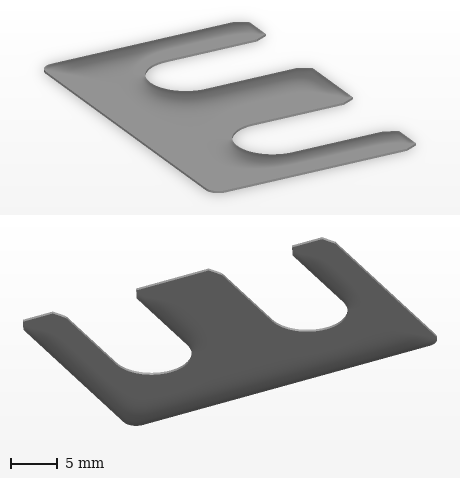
import cadquery as cq

length = 38.1
depth = 25.4
thickness = 0.25
corner_radius = 1.52

slot_width = 8.65
slot_spacing = length / 2
slot_radius = slot_width / 2
slot_center_y = 0.0

tip_inset = 0.75
tip_height = 1.52

back_y = depth / 2
taper_start_y = back_y - tip_height


def make_plate():
    """Flat plate with its two front corners rounded."""
    plate = cq.Workplane("XY").box(length, depth, thickness)
    return plate.faces("<Y").edges("|Z").fillet(corner_radius)


def make_slot(center_x):
    """Round-bottomed slot that flares out at the back edge."""
    left = center_x - slot_radius
    right = center_x + slot_radius
    return (
        cq.Workplane("XY", origin=(0, 0, -thickness))
        .moveTo(left, slot_center_y)
        .lineTo(left, taper_start_y)
        .lineTo(left - tip_inset, back_y)
        .lineTo(right + tip_inset, back_y)
        .lineTo(right, taper_start_y)
        .lineTo(right, slot_center_y)
        .threePointArc((center_x, slot_center_y - slot_radius), (left, slot_center_y))
        .close()
        .extrude(2 * thickness)
    )


def make_outer_taper(side):
    """Triangle removed from an outer back corner; side is -1 or 1."""
    edge_x = side * length / 2
    return (
        cq.Workplane("XY", origin=(0, 0, -thickness))
        .moveTo(edge_x, taper_start_y)
        .lineTo(edge_x, back_y)
        .lineTo(edge_x - side * tip_inset, back_y)
        .close()
        .extrude(2 * thickness)
    )


result = make_plate()
for side in (-1, 1):
    result = result.cut(make_slot(side * slot_spacing / 2))
    result = result.cut(make_outer_taper(side))